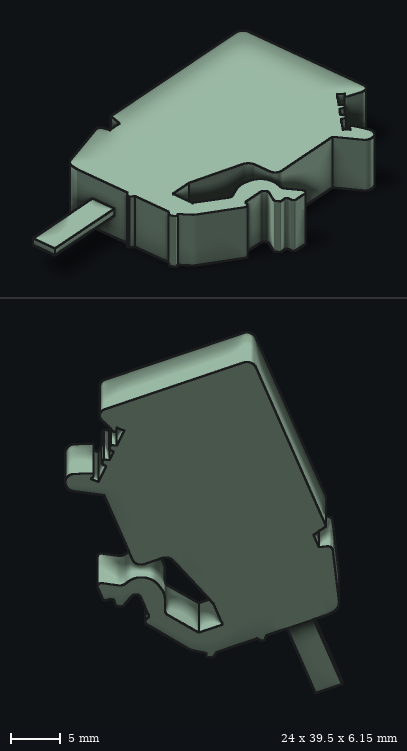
import cadquery as cq
import math

length = 39.52
thickness = 6.15
foot_reach = 24.0

base_y = 9.35
right_wall_x = 19.55
slot_left_x = 13.8
slot_floor_y = 12.15
shoulder_y = 21.45

pin_left_x = 5.57
pin_width = 2.9
pin_thickness = 0.83
pin_overlap = 0.8

recess_start = (14.98, 36.5)
recess_length = 6.45
recess_wall = 0.8
rib_positions = (2.3, 4.1)
rib_base = 0.8
rib_top = 0.5
rib_height = 0.55

nub_x = 10.65
nub_base = 1.0
nub_top = 0.3
nub_drop = 0.45


def recess_point(along, out):
    """Point at a distance along the recess floor and out from it."""
    diagonal = math.sqrt(0.5)
    return (
        recess_start[0] + (along + out) * diagonal,
        recess_start[1] + (out - along) * diagonal,
    )


def rounded_outline(corners):
    """Closed outline through (x, y, radius) corners, each rounded by a tangent arc."""
    segments = []
    for i, (x, y, radius) in enumerate(corners):
        corner = cq.Vector(x, y)
        before = cq.Vector(*corners[i - 1][:2])
        after = cq.Vector(*corners[(i + 1) % len(corners)][:2])
        to_before = (before - corner).normalized()
        to_after = (after - corner).normalized()
        if radius == 0:
            segments.append((corner, corner, corner))
            continue
        half_angle = to_before.getAngle(to_after) / 2
        setback = radius / math.tan(half_angle)
        depth = radius / math.sin(half_angle) - radius
        middle = corner + (to_before + to_after).normalized() * depth
        segments.append((corner + to_before * setback, middle, corner + to_after * setback))

    edges = []
    for i, (start, middle, end) in enumerate(segments):
        previous_end = segments[i - 1][2]
        edges.append(cq.Edge.makeLine(previous_end, start))
        if start != end:
            edges.append(cq.Edge.makeThreePointArc(start, middle, end))
    return cq.Wire.assembleEdges(edges)


def raised_trapezoid(base_width, top_width, height, placed):
    """Full-thickness rib; placed(along, out) gives the position of each corner."""
    root = -0.5 * height
    corners = [
        placed(-base_width / 2, root),
        placed(-base_width / 2, 0),
        placed(-top_width / 2, height),
        placed(top_width / 2, height),
        placed(base_width / 2, 0),
        placed(base_width / 2, root),
    ]
    return cq.Workplane("XY").polyline(corners).close().extrude(thickness)


foot_outer_side = [
    (15.5, base_y, 0),
    (16.05, base_y - nub_drop, 0.15),
    (16.68, 9.25, 0.1),
    (16.5, 9.65, 0),
    (17.85, 10.55, 1.6),
    (21.02, 15.05, 0.25),
    (20.85, 15.4, 0.1),
    (20.35, 15.65, 0),
    (20.35, 18.93, 0.5),
    (22.45, 17.65, 0.25),
    (23.05, 18.02, 0.15),
    (22.95, 18.93, 0.3),
    (foot_reach, 18.93, 0.3),
]
foot_inner_side = [
    (foot_reach, 21.3, 0.4),
    (21.6, 19.9, 0.85),
    (18.75, 20.85, 2.05),
    (17.9, 17.63, 2.17),
    (18.75, 15.4, 0.65),
    (16.35, slot_floor_y, 0),
]
right_side = [
    (slot_left_x, slot_floor_y, 0),
    (slot_left_x, 14.7, 0),
    (16.0, shoulder_y, 1.03),
    (right_wall_x, shoulder_y, 0.9),
    (right_wall_x, 30.3, 0),
]
lower_lip = [
    (22.9, 32.2, 0.95),
    (22.45, 34.03, 0.95),
    (19.6, 33.05, 0.15),
    (19.75, 32.72, 0),
]
recess = [
    (*recess_point(recess_length, recess_wall), 0),
    (*recess_point(recess_length, 0), 0),
    (*recess_point(0, 0), 0),
    (*recess_point(0, recess_wall), 0),
]
upper_lip = [
    (15.73, 36.8, 0),
    (16.0, 36.7, 0.1),
    (17.07, length, 0.8),
]
left_side = [
    (0, length, 1.0),
    (0, 18.93, 0),
    (1.55, 18.45, 0),
    (1.55, 16.95, 0),
    (0.25, 16.65, 0.5),
    (2.15, 9.6, 1.2),
    (3.55, base_y, 0),
]

profile = rounded_outline(
    foot_outer_side + foot_inner_side + right_side + lower_lip + recess + upper_lip + left_side
)
housing = cq.Workplane("XY").add(cq.Solid.extrudeLinear(profile, [], cq.Vector(0, 0, thickness)))

for position in rib_positions:
    housing = housing.union(
        raised_trapezoid(
            rib_base, rib_top, rib_height,
            lambda along, out: recess_point(position + along, out),
        )
    )

housing = housing.union(
    raised_trapezoid(nub_base, nub_top, nub_drop, lambda along, out: (nub_x + along, base_y - out))
)

pin = cq.Workplane("XY").box(
    pin_width, base_y + pin_overlap, pin_thickness, centered=(False, False, True)
).translate((pin_left_x, 0, thickness / 2))

result = housing.union(pin)